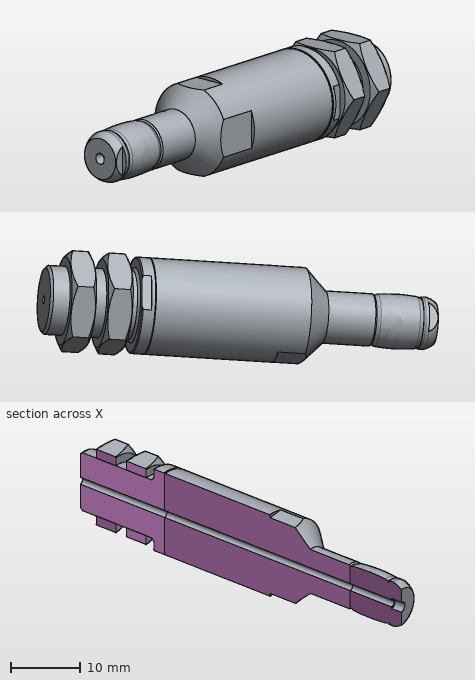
import cadquery as cq
import math

total_length = 57.5
bore_diameter = 1.1

thread_radius = 10.0 / 2
thread_chamfer = 0.4
flare_start_y = 44.75
flare_radius = 5.45
flange_back_y = 44.4
flange_front_y = 42.4
flange_chamfer = 0.2
flange_seam_chamfer = 0.1
flange_flat_end_y = 43.0

body_radius = 14.0 / 2
cone_back_y = 19.5
stem_radius = 7.6 / 2
cone_front_y = cone_back_y - (body_radius - stem_radius)
stem_end_y = 9.15
stem_chamfer = 0.25
key_flat_start_y = 25.5
key_flat_offset = 6.4
wrench_flat_start_y = 23.5

nut_across_flats = 13.0
nut_thickness = 3.6
nut_front_faces_y = (45.65, 51.05)
nut_face_radius = 6.4
nut_corner_radius = nut_across_flats / math.sqrt(3)
nut_chamfer_depth = (nut_corner_radius - nut_face_radius) * math.tan(math.radians(30))

wrench_flat_offset = nut_across_flats / 2

grip_end_radius = 3.55
grip_shoulder_radius = 3.8
grip_middle_radius = 3.95
grip_back_shoulder_y = 8.55
grip_front_shoulder_y = 2.8
grip_front_y = 2.25
nose_back_radius = 3.75
nose_shoulder_y = 1.95
nose_radius = 3.8
nose_round_y = 1.45
nose_round_middle = (3.5, 0.7)
tip_radius = 3.05
tip_flat_offset = 3.1
tip_bore_radius = 1.6 / 2
tip_bore_depth = 1.7


def revolve_about_y(profile):
    """Revolve a closed (radius, y) profile a full turn about the Y axis."""
    return profile.close().revolve(360, (0, 0, 0), (0, 1, 0))


def rod(radius, start_y, end_y):
    """Solid cylinder along Y."""
    return cq.Workplane("XZ", origin=(0, start_y, 0)).circle(radius).extrude(start_y - end_y)


def bore(body):
    """Cut the cable bore along the whole axis."""
    return body.cut(rod(bore_diameter / 2, 0, total_length))


def flat_cutter(offset, start_y, end_y, angle):
    """Block that leaves a flat at the given distance from the axis; angle 0 faces +X."""
    size = 2 * body_radius
    block = cq.Workplane("XY").box(size, end_y - start_y, size, centered=(False, False, True))
    block = block.translate((offset, start_y, 0))
    return block.rotate((0, 0, 0), (0, 1, 0), angle)


def make_threaded_neck():
    neck = revolve_about_y(
        cq.Workplane("XY")
        .moveTo(0, total_length)
        .lineTo(thread_radius - thread_chamfer, total_length)
        .lineTo(thread_radius, total_length - thread_chamfer)
        .lineTo(thread_radius, flare_start_y)
        .lineTo(flare_radius, flange_back_y)
        .lineTo(body_radius - flange_chamfer, flange_back_y)
        .lineTo(body_radius, flange_back_y - flange_chamfer)
        .lineTo(body_radius, flange_front_y + flange_seam_chamfer)
        .lineTo(body_radius - flange_seam_chamfer, flange_front_y)
        .lineTo(0, flange_front_y)
    )
    for angle in (0, 180):
        neck = neck.cut(flat_cutter(wrench_flat_offset, flange_flat_end_y, flange_back_y, angle))
    return bore(neck)


def make_housing():
    housing = revolve_about_y(
        cq.Workplane("XY")
        .moveTo(0, flange_front_y)
        .lineTo(body_radius, flange_front_y)
        .lineTo(body_radius, cone_back_y)
        .lineTo(stem_radius, cone_front_y)
        .lineTo(stem_radius, stem_end_y + stem_chamfer)
        .lineTo(stem_radius - stem_chamfer, stem_end_y)
        .lineTo(0, stem_end_y)
    )
    housing = housing.cut(flat_cutter(key_flat_offset, cone_front_y, key_flat_start_y, 0))
    for angle in (90, -90):
        housing = housing.cut(flat_cutter(wrench_flat_offset, cone_front_y, wrench_flat_start_y, angle))
    return bore(housing)


def make_connector():
    connector = revolve_about_y(
        cq.Workplane("XY")
        .moveTo(0, stem_end_y)
        .lineTo(grip_end_radius, stem_end_y)
        .lineTo(grip_shoulder_radius, grip_back_shoulder_y)
        .threePointArc(
            (grip_middle_radius, (grip_back_shoulder_y + grip_front_shoulder_y) / 2),
            (grip_shoulder_radius, grip_front_shoulder_y),
        )
        .lineTo(grip_end_radius, grip_front_y)
        .lineTo(nose_back_radius, grip_front_y)
        .lineTo(nose_radius, nose_shoulder_y)
        .lineTo(nose_radius, nose_round_y)
        .threePointArc(nose_round_middle, (tip_radius, 0))
        .lineTo(0, 0)
    )
    for angle in (0, 180):
        connector = connector.cut(flat_cutter(tip_flat_offset, 0, nose_round_y, angle))
    return bore(connector.cut(rod(tip_bore_radius, 0, tip_bore_depth)))


def make_nut(front_y):
    """Hexagon nut with corners on +X and -X, chamfered on both faces."""
    back_y = front_y + nut_thickness
    hexagon = (
        cq.Workplane("XZ", origin=(0, front_y, 0))
        .polygon(6, 2 * nut_corner_radius)
        .extrude(-nut_thickness)
    )
    chamfer_envelope = revolve_about_y(
        cq.Workplane("XY")
        .moveTo(0, front_y)
        .lineTo(nut_face_radius, front_y)
        .lineTo(nut_corner_radius, front_y + nut_chamfer_depth)
        .lineTo(nut_corner_radius, back_y - nut_chamfer_depth)
        .lineTo(nut_face_radius, back_y)
        .lineTo(0, back_y)
    )
    return hexagon.intersect(chamfer_envelope).cut(rod(thread_radius, front_y, back_y))


threaded_neck = make_threaded_neck()
housing = make_housing()
connector = make_connector()
nuts = [make_nut(front_y) for front_y in nut_front_faces_y]

result = cq.Compound.makeCompound(
    [threaded_neck.val(), housing.val(), connector.val(), *[nut.val() for nut in nuts]]
)